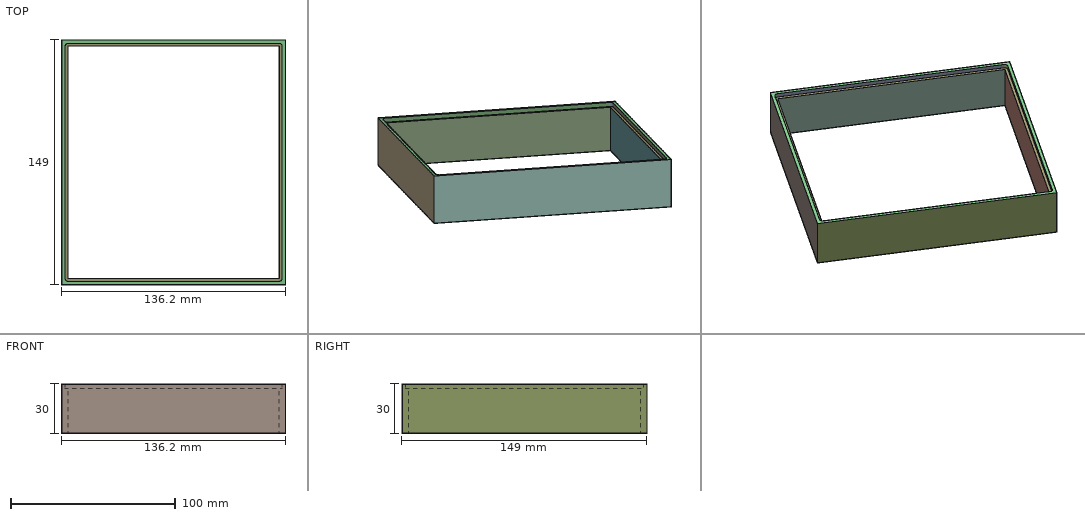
import cadquery as cq

width = 136.2
length = 149.0
height = 30.0

wall = 3.9
rim = 2.1
step_depth = 2.5
step_corner_radius = 2.0


def centred_block(inset, bottom, top):
    """Block inset from the outer sides, between two heights."""
    return (
        cq.Workplane("XY")
        .workplane(offset=bottom)
        .rect(width - 2 * inset, length - 2 * inset)
        .extrude(top - bottom)
    )


frame = centred_block(0, 0, height)
opening = centred_block(wall, 0, height)
step = centred_block(rim, height - step_depth, height).edges("|Z").fillet(step_corner_radius)

result = frame.cut(opening).cut(step)